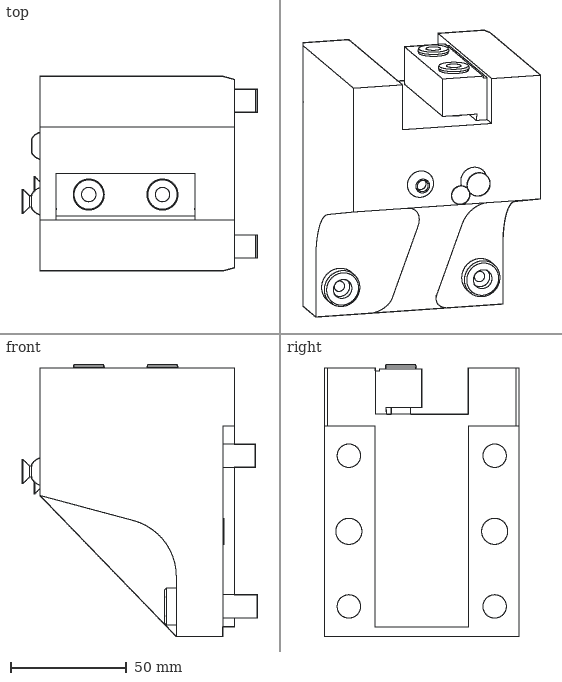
import cadquery as cq
import math

width = 84.0
length = 84.0
height = 116.0
nose_bottom = 60.9
foot_thickness = 20.1

step_depth = 5.0
shoulder_x = length - step_depth
pad_bottom = 4.2
pad_top = 91.0
pad_width = 40.1
corner_angle = 15

rib_width = 20.0
rib_fillet = 8.0
pocket_radius = 25.0
pocket_slope = 15
pocket_back = shoulder_x - foot_thickness

slot_width = 40.0
slot_depth = 20.0
slot_floor = height - slot_depth
slot_wall = -slot_width / 2
clamp_start = 7.0
clamp_length = 59.8
clamp_top = 115.5
clamp_underside = 98.8
clamp_notch_width = 1.8
clamp_notch_depth = 0.8
clamp_foot_width = 4.6
clamp_foot_base = 4.9

clamp_screw_x = (21.1, 52.9)
clamp_screw_y = -9.0
clamp_shank_diameter = 8.5
clamp_head_diameter = 13.4
clamp_head_top = 117.4
clamp_head_end_diameter = 12.7
clamp_socket_diameter = 6.2
clamp_socket_depth = 1.8

mount_y = 31.5
mount_diameter = 10.1
screw_z = 13.0
screw_reach = 93.9
pin_z = 78.0
pin_reach = 93.0
mount_head_diameter = 16.0
mount_head_height = 5.0
mount_head_chamfer = 0.8
mount_socket_diameter = 8.3
mount_socket_base_diameter = 4.6
mount_socket_depth = 3.5
mount_socket_cone = 1.4
plug_z = 45.4
plug_diameter = 11.3
plug_height = 0.5

nozzle_y = 12.0
nozzle_z = 71.2
nozzle_base_radius = 5.9
nozzle_tip_radius = 3.0
nozzle_height = 3.5
nozzle_bore_diameter = 4.9
nozzle_bore_depth = 3.5
overlap = 1.2

nozzle_screw_reach = 7.6
nozzle_screw_radius = 5.2
nozzle_screw_neck = 2.5
lock_screw_y = -5.4
lock_screw_z = 65.7
lock_screw_reach = 2.6
lock_screw_radius = 4.1
screw_rim = 0.5


def x_cylinder(diameter, x_from, x_to, y, z):
    """Cylinder along X between two X positions."""
    plane = cq.Workplane("YZ", origin=(x_from, y, z))
    return plane.circle(diameter / 2).extrude(x_to - x_from)


def make_block():
    profile = [
        (0, nose_bottom),
        (0, height),
        (length, height),
        (length, pad_bottom),
        (shoulder_x, pad_bottom),
        (shoulder_x, 0),
        (pocket_back, 0),
    ]
    block = cq.Workplane("XZ").polyline(profile).close().extrude(width / 2, both=True)
    slot = cq.Workplane().box(length, slot_width, slot_depth, centered=(False, True, False))
    return block.cut(slot.translate((0, 0, slot_floor)))


def make_rear_relief(side):
    """Material removed behind the shoulder: beside the pad, and the tapered corner above it."""
    relief_width = (width - pad_width) / 2
    relief_y = side * (pad_width + relief_width) / 2
    relief = cq.Workplane().box(step_depth, relief_width, pad_top, centered=(False, True, False))
    relief = relief.translate((shoulder_x, relief_y, 0))
    taper = step_depth * math.tan(math.radians(corner_angle))
    edge = side * width / 2
    corner = cq.Workplane("XY").moveTo(shoulder_x, edge).lineTo(length, edge)
    corner = corner.lineTo(length, edge - side * taper).close().extrude(height)
    return relief.union(corner)


def make_pocket():
    """Pocket on the +Y side, rounded along its edge against the rib."""
    slope = math.radians(pocket_slope)
    turn = math.radians(90 - pocket_slope)
    center_x = pocket_back - pocket_radius
    drop = pocket_radius * (math.cos(slope) + math.tan(slope) * math.sin(slope))
    center_z = nose_bottom - center_x * math.tan(slope) - drop
    mid = turn / 2
    arc_middle = (center_x + pocket_radius * math.cos(mid), center_z + pocket_radius * math.sin(mid))
    arc_start = (center_x + pocket_radius * math.cos(turn), center_z + pocket_radius * math.sin(turn))
    overrun = 23.5
    margin = 1.2
    far_x = -overrun
    roof_z = nose_bottom + overrun * math.tan(slope)
    outline = cq.Workplane("XZ", origin=(0, width / 2, 0)).moveTo(far_x, roof_z).lineTo(*arc_start)
    outline = outline.threePointArc(arc_middle, (pocket_back, center_z))
    outline = outline.lineTo(pocket_back, -overrun).lineTo(far_x, -overrun).close()
    pocket = outline.extrude((width - rib_width) / 2)
    roof_and_back_edges = cq.selectors.BoxSelector(
        (far_x + margin, rib_width / 2 - margin, margin - overrun),
        (pocket_back + margin, rib_width / 2 + margin, height),
    )
    return pocket.edges(roof_and_back_edges).fillet(rib_fillet)


def make_clamp_screw_head():
    """Flat head on the Z axis, widest at half its height."""
    profile = [
        (0, clamp_top),
        (clamp_head_end_diameter / 2, clamp_top),
        (clamp_head_diameter / 2, (clamp_top + clamp_head_top) / 2),
        (clamp_head_end_diameter / 2, clamp_head_top),
        (0, clamp_head_top),
    ]
    return cq.Workplane("XZ").polyline(profile).close().revolve(360, (0, 0, 0), (0, 1, 0))


def make_clamp():
    notch_z = clamp_top - clamp_notch_depth
    profile = [
        (slot_wall, slot_floor),
        (slot_wall, notch_z),
        (slot_wall + clamp_notch_width, notch_z),
        (slot_wall + clamp_notch_width, clamp_top),
        (0, clamp_top),
        (0, clamp_underside),
        (slot_wall + clamp_foot_width, clamp_underside),
        (slot_wall + clamp_foot_base, slot_floor),
    ]
    plane = cq.Workplane("YZ", origin=(clamp_start, 0, 0))
    clamp = plane.polyline(profile).close().extrude(clamp_length)
    for x in clamp_screw_x:
        shank = cq.Workplane(origin=(x, clamp_screw_y, slot_floor))
        shank = shank.circle(clamp_shank_diameter / 2).extrude(clamp_top - slot_floor)
        head = make_clamp_screw_head().translate((x, clamp_screw_y, 0))
        socket = cq.Workplane(origin=(x, clamp_screw_y, clamp_head_top))
        socket = socket.circle(clamp_socket_diameter / 2).extrude(-clamp_socket_depth)
        clamp = clamp.union(shank).union(head).cut(socket)
    return clamp


def make_mounting(y):
    """Screw end, pin and plug on the rear face at one Y position, with the screw's head."""
    start = shoulder_x - overlap
    screw = x_cylinder(mount_diameter, start, screw_reach, y, screw_z)
    pin = x_cylinder(mount_diameter, start, pin_reach, y, pin_z)
    plug = x_cylinder(plug_diameter, start, shoulder_x + plug_height, y, plug_z)
    head_top = pocket_back - mount_head_height
    head = x_cylinder(mount_head_diameter, head_top, pocket_back, y, screw_z)
    head = head.faces("<X").chamfer(mount_head_chamfer)
    cone_start = head_top + mount_socket_depth
    socket = x_cylinder(mount_socket_diameter, head_top, cone_start, y, screw_z)
    cone = cq.Workplane("YZ", origin=(cone_start, y, screw_z)).circle(mount_socket_diameter / 2)
    cone = cone.workplane(offset=mount_socket_cone).circle(mount_socket_base_diameter / 2).loft()
    return screw.union(pin).union(plug).union(head).cut(socket).cut(cone)


def make_nozzle(y):
    """Domed nozzle: a slice of a sphere whose centre lies inside the block."""
    base_sq = nozzle_base_radius ** 2
    tip_sq = nozzle_tip_radius ** 2
    center_x = (base_sq - tip_sq - nozzle_height ** 2) / (2 * nozzle_height)
    radius = math.hypot(nozzle_base_radius, center_x)
    sphere = cq.Workplane().sphere(radius).translate((center_x, y, nozzle_z))
    slab = x_cylinder(3 * radius, -nozzle_height, overlap, y, nozzle_z)
    return sphere.intersect(slab)


def make_countersunk_screw(reach, rim_radius, neck_radius, y, z):
    """Flat-topped 45 degree screw head whose widest end is outermost."""
    cone_end = screw_rim + rim_radius - neck_radius - reach
    profile = [
        (-reach, 0),
        (-reach, rim_radius),
        (screw_rim - reach, rim_radius),
        (cone_end, neck_radius),
        (overlap, neck_radius),
        (overlap, 0),
    ]
    head = cq.Workplane("XY").polyline(profile).close().revolve(360, (0, 0, 0), (1, 0, 0))
    return head.translate((0, y, z))


block = make_block()
pocket = make_pocket()
block = block.cut(pocket).cut(pocket.mirror("XZ"))
for side in (-1, 1):
    block = block.cut(make_rear_relief(side))

result = block.union(make_clamp())
for side in (-1, 1):
    result = result.union(make_mounting(side * mount_y))
    result = result.union(make_nozzle(side * nozzle_y))

bore_end = nozzle_bore_depth - nozzle_height
bore = x_cylinder(nozzle_bore_diameter, -nozzle_height, bore_end, nozzle_y, nozzle_z)
result = result.cut(bore)
result = result.union(make_countersunk_screw(
    nozzle_screw_reach, nozzle_screw_radius, nozzle_screw_neck, -nozzle_y, nozzle_z))
lock_screw_neck = lock_screw_radius + screw_rim - lock_screw_reach
result = result.union(make_countersunk_screw(
    lock_screw_reach, lock_screw_radius, lock_screw_neck, lock_screw_y, lock_screw_z))